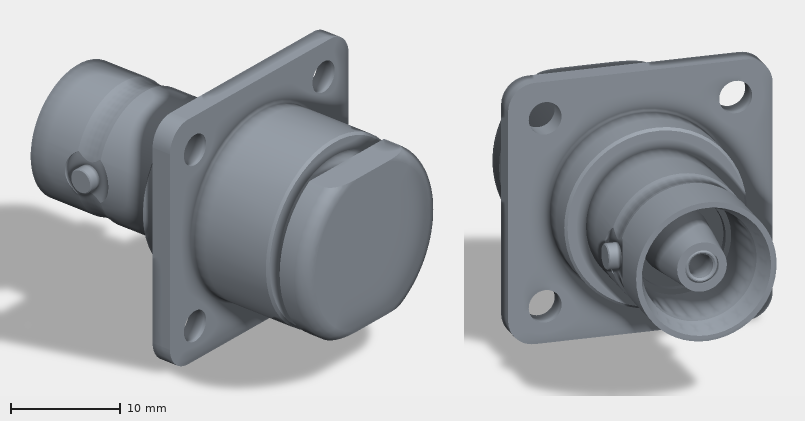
import cadquery as cq


length = 35.05
collar_start = 14.83
flange_start = 19.52
flange_thickness = 2.07
body_end = 30.6
nut_start = 32.0

flange_end = flange_start + flange_thickness

barrel_diameter = 13.5
barrel_radius = barrel_diameter / 2
collar_radius = 8.75
body_radius = 9.55
neck_radius = 7.92
edge_chamfer = 0.25
root_fillet = 0.28

flange_side = 25.4
flange_corner_radius = 2.55
flange_hole_pitch = 18.3
flange_hole_diameter = 3.15

nut_edge_radius = 1.33
nut_across_flats = 2 * neck_radius

bayonet_x = 6.65
groove_width = 2.7
groove_depth = 0.2
spot_face_radius = 2.6
spot_face_height = 6.35
stud_radius = 1.23
stud_tip_height = 7.57
stud_chamfer = 0.1

mouth_radius = 6.2
throat_radius = 5.5
throat_depth = 2.1
ledge_radius = 5.1
ledge_depth = 8.4
floor_radius = 4.6
floor_depth = 9.1

insulator_tip_x = 1.3
insulator_tip_radius = 2.4
insulator_root_radius = 3.3
insulator_bore_radius = 1.6

contact_tip_x = 1.4
contact_bore_radius = 1.15
contact_bore_depth = 5.6
contact_chamfer = 0.18


def revolve_about_axis(profile):
    """Turn a closed (x, radius) profile about the connector axis."""
    return profile.close().revolve(360, (0, 0, 0), (1, 0, 0))


def cylinder_x(start, end, radius):
    """Solid cylinder on the connector axis between two stations."""
    return cq.Workplane("YZ", origin=(start, 0, 0)).circle(radius).extrude(end - start)


def make_turned_body():
    """Barrel, collar, body and neck, with fillets where they meet the flange."""
    profile = (
        cq.Workplane("XY")
        .lineTo(0, barrel_radius)
        .lineTo(collar_start, barrel_radius)
        .lineTo(collar_start, collar_radius - edge_chamfer)
        .lineTo(collar_start + edge_chamfer, collar_radius)
        .lineTo(flange_start - root_fillet, collar_radius)
        .radiusArc((flange_start, collar_radius + root_fillet), -root_fillet)
        .lineTo(flange_end, collar_radius + root_fillet)
        .lineTo(flange_end, body_radius + root_fillet)
        .radiusArc((flange_end + root_fillet, body_radius), -root_fillet)
        .lineTo(body_end - edge_chamfer, body_radius)
        .lineTo(body_end, body_radius - edge_chamfer)
        .lineTo(body_end, neck_radius)
        .lineTo(nut_start, neck_radius)
        .lineTo(nut_start, 0)
    )
    return revolve_about_axis(profile)


def make_flange():
    """Square plate with rounded corners and four mounting holes."""
    plate = (
        cq.Workplane("YZ", origin=(flange_start, 0, 0))
        .rect(flange_side, flange_side)
        .extrude(flange_thickness)
        .edges("|X")
        .fillet(flange_corner_radius)
    )
    return (
        plate.faces("<X")
        .workplane(centerOption="CenterOfBoundBox")
        .rect(flange_hole_pitch, flange_hole_pitch, forConstruction=True)
        .vertices()
        .hole(flange_hole_diameter)
    )


def make_nut():
    """Round nut with a rounded rear edge and two wrench flats facing up and down."""
    round_nut = cylinder_x(nut_start, length, body_radius)
    round_nut = round_nut.faces(">X").edges().fillet(nut_edge_radius)
    between_flats = cq.Workplane("XY").box(2 * length, 2 * body_radius, nut_across_flats)
    return round_nut.intersect(between_flats)


def make_bayonet_groove():
    """Shallow arc-section ring cut around the barrel."""
    half_width = groove_width / 2
    profile = (
        cq.Workplane("XY")
        .moveTo(bayonet_x - half_width, barrel_radius)
        .threePointArc(
            (bayonet_x, barrel_radius - groove_depth),
            (bayonet_x + half_width, barrel_radius),
        )
        .lineTo(bayonet_x + half_width, barrel_radius + groove_depth)
        .lineTo(bayonet_x - half_width, barrel_radius + groove_depth)
    )
    return revolve_about_axis(profile)


def plane_across_stud(side, height):
    """Plane facing outward along Y at a height above the connector axis, centred on a stud."""
    return cq.Plane(
        origin=(bayonet_x, side * height, 0),
        xDir=(1, 0, 0),
        normal=(0, side, 0),
    )


def make_spot_face(side):
    """Flat round cut under a stud; side is +1 or -1 along Y."""
    plane = plane_across_stud(side, spot_face_height)
    return cq.Workplane(plane).circle(spot_face_radius).extrude(barrel_radius)


def make_stud(side):
    """Bayonet stud rooted inside the barrel wall; side is +1 or -1 along Y."""
    plane = plane_across_stud(side, throat_radius)
    stud = cq.Workplane(plane).circle(stud_radius).extrude(stud_tip_height - throat_radius)
    tip = ">Y" if side > 0 else "<Y"
    return stud.faces(tip).edges().chamfer(stud_chamfer)


def make_socket():
    """Tapered cavity behind the open mating face."""
    profile = (
        cq.Workplane("XY")
        .lineTo(0, mouth_radius)
        .lineTo(throat_depth, throat_radius)
        .lineTo(ledge_depth, ledge_radius)
        .lineTo(ledge_depth, floor_radius)
        .lineTo(floor_depth, floor_radius)
        .lineTo(floor_depth, 0)
    )
    return revolve_about_axis(profile)


def make_insulator_and_contact():
    """Conical insulator with the contact tube in its bore."""
    insulator = (
        cq.Workplane("XY")
        .moveTo(insulator_tip_x, insulator_bore_radius)
        .lineTo(insulator_tip_x, insulator_tip_radius)
        .lineTo(floor_depth, insulator_root_radius)
        .lineTo(floor_depth, insulator_bore_radius)
    )
    contact = cylinder_x(contact_tip_x, floor_depth, insulator_bore_radius)
    bore_end = contact_tip_x + contact_bore_depth
    contact = contact.cut(cylinder_x(contact_tip_x, bore_end, contact_bore_radius))
    contact = contact.faces("<X").edges().chamfer(contact_chamfer)
    return revolve_about_axis(insulator).union(contact)


result = make_turned_body().union(make_flange()).union(make_nut())
result = result.cut(make_bayonet_groove())
for stud_side in (-1, 1):
    result = result.cut(make_spot_face(stud_side))
    result = result.union(make_stud(stud_side))
result = result.cut(make_socket()).union(make_insulator_and_contact())